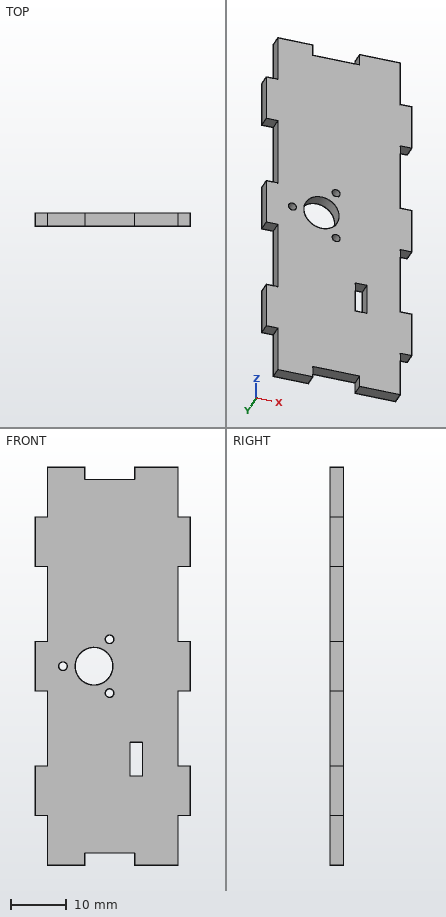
import cadquery as cq

width = 27.9
height = 71.55
thickness = 2.4
joint_depth = 2.2

finger_length = height / 8
tab_pitch = 2.5 * finger_length
body_width = width - 2 * joint_depth
notch_offset = 6.7
notch_x = -body_width / 2 + notch_offset + finger_length / 2

opening_x = -3.35
opening_diameter = 6.7
screw_diameter = 1.5
screw_circle_radius = 5.6
screw_count = 3
first_screw_angle = 180

slot_width = 2.2
slot_height = 6.0
slot_x = 4.2
slot_z = -16.7


def block(size_x, size_z, x=0, z=0):
    """Return a block of full panel thickness centred at (x, z)."""
    return cq.Workplane("XY").box(size_x, thickness, size_z).translate((x, 0, z))


def opening_cutter():
    """Return the cutter for the round opening."""
    return (
        cq.Workplane("XZ")
        .center(opening_x, 0)
        .circle(opening_diameter / 2)
        .extrude(thickness / 2, both=True)
    )


def screw_cutters():
    """Return cutters for the screw holes, evenly spaced around the opening."""
    return (
        cq.Workplane("XZ")
        .center(opening_x, 0)
        .polarArray(screw_circle_radius, first_screw_angle, 360, screw_count)
        .circle(screw_diameter / 2)
        .extrude(thickness / 2, both=True)
    )


panel = block(body_width, height)

for tab_z in (-tab_pitch, 0, tab_pitch):
    panel = panel.union(block(width, finger_length, z=tab_z))

for end in (-1, 1):
    notch_z = end * (height - joint_depth) / 2
    panel = panel.cut(block(finger_length, joint_depth, notch_x, notch_z))

panel = panel.cut(opening_cutter())
panel = panel.cut(screw_cutters())
panel = panel.cut(block(slot_width, slot_height, slot_x, slot_z))

result = panel